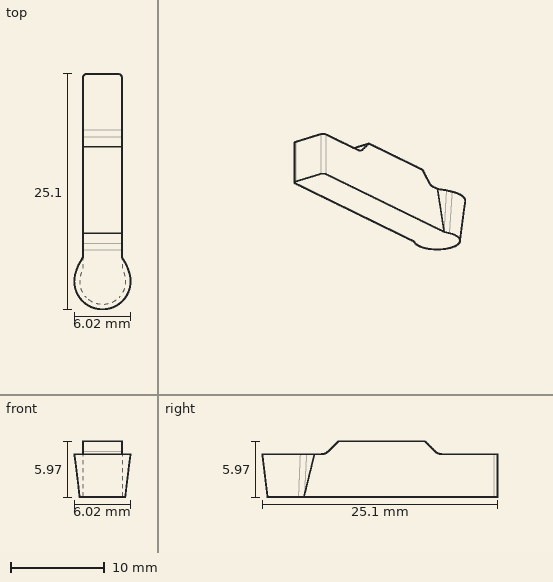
import cadquery as cq
import math

head_radius = 3.01
total_length = 25.09
bar_width = 4.17
bar_height = 4.6
crest_height = 5.97
crest_start = 5.11
crest_length = 9.22
ramp_angle = 45.0
ramp_fillet = 1.0
end_corner_radius = 0.4
head_draft = 7.0
flank_angle = 20.0
neck_angle = 30.0
flank_end = 1.70

bar_end = total_length - head_radius
crest_end = crest_start + crest_length
ramp_run = (crest_height - bar_height) / math.tan(math.radians(ramp_angle))
ramp_foot_front = crest_start - ramp_run
ramp_foot_back = crest_end + ramp_run


def make_bar():
    """Bar with the raised middle, from the head centre to the rounded tail."""
    profile = [
        (0, 0),
        (bar_end, 0),
        (bar_end, bar_height),
        (ramp_foot_back, bar_height),
        (crest_end, crest_height),
        (crest_start, crest_height),
        (ramp_foot_front, bar_height),
        (0, bar_height),
    ]
    bar = cq.Workplane("YZ").polyline(profile).close().extrude(bar_width / 2, both=True)

    bar = bar.edges("|Z").edges(">Y").fillet(end_corner_radius)
    for foot_y in (ramp_foot_front, ramp_foot_back):
        foot_edge = cq.selectors.NearestToPointSelector((0, foot_y, bar_height))
        bar = bar.edges("|X").edges(foot_edge).fillet(ramp_fillet)
    return bar


def make_head():
    """Drafted round head whose two flats per side close to a point buried in the bar."""
    flank = math.radians(flank_angle)
    neck = math.radians(neck_angle)
    tangent_x = head_radius * math.cos(flank)
    tangent_y = head_radius * math.sin(flank)
    flank_end_x = tangent_x - (flank_end - tangent_y) * math.tan(flank)
    apex_y = flank_end + flank_end_x / math.tan(neck)

    return (
        cq.Workplane("XY", origin=(0, 0, bar_height))
        .moveTo(0, apex_y)
        .lineTo(-flank_end_x, flank_end)
        .lineTo(-tangent_x, tangent_y)
        .threePointArc((0, -head_radius), (tangent_x, tangent_y))
        .lineTo(flank_end_x, flank_end)
        .close()
        .extrude(-bar_height, taper=head_draft)
    )


result = make_bar().union(make_head())